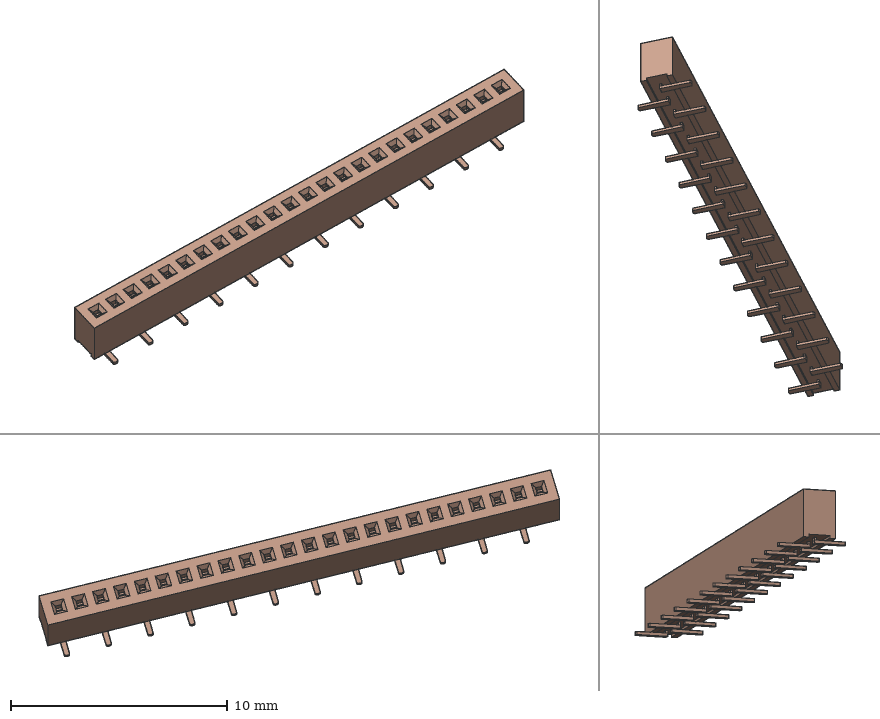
import cadquery as cq

pin_count = 24
pitch = 1.0
end_margin = 0.75

body_width = 1.55
body_length = (pin_count - 1) * pitch + 2 * end_margin
overall_height = 2.4
standoff = 0.15
channel_width = 1.0
channel_top = 0.28

mouth_x = 0.66
mouth_y = 0.61
throat_x = 0.3
throat_y = 0.28
funnel_depth = 0.175
throat_depth = 1.0

blade_thickness = 0.1
blade_width = throat_y
blade_recess = 0.1
blade_top = overall_height - funnel_depth - blade_recess
foot_thickness = standoff
foot_span = 2.95
foot_reach = foot_span / 2
foot_root_width = 0.29
foot_tip_width = 0.25
tip_bulge = 0.05


def make_housing():
    """Rectangular block with a channel along its underside."""
    block = cq.Workplane("XY", origin=(0, 0, standoff)).rect(body_width, body_length)
    block = block.extrude(overall_height - standoff)
    channel = cq.Workplane("XY").rect(channel_width, body_length).extrude(channel_top)
    return block.cut(channel)


def make_opening(y):
    """Tapered lead-in followed by a rectangular blind throat."""
    funnel = (
        cq.Workplane("XY", origin=(0, y, overall_height))
        .rect(mouth_x, mouth_y)
        .workplane(offset=-funnel_depth)
        .rect(throat_x, throat_y)
        .loft(ruled=True)
    )
    throat = (
        cq.Workplane("XY", origin=(0, y, overall_height - funnel_depth))
        .rect(throat_x, throat_y)
        .extrude(-throat_depth)
    )
    return funnel.union(throat)


def make_contact(y, side):
    """Blade standing in the opening, with its foot reaching toward X = side (-1 or +1)."""
    blade = cq.Workplane("XY", origin=(0, y, 0)).rect(blade_thickness, blade_width).extrude(blade_top)
    root_x = -side * blade_thickness / 2
    tip_x = side * (foot_reach - tip_bulge)
    foot = (
        cq.Workplane("XY", origin=(0, y, 0))
        .moveTo(root_x, -foot_root_width / 2)
        .lineTo(tip_x, -foot_tip_width / 2)
        .threePointArc((side * foot_reach, 0), (tip_x, foot_tip_width / 2))
        .lineTo(root_x, foot_root_width / 2)
        .close()
        .extrude(foot_thickness)
    )
    return blade.union(foot)


result = make_housing()
for index in range(pin_count):
    pin_y = (pin_count - 1) * pitch / 2 - index * pitch
    foot_side = -1 if index % 2 == 0 else 1
    result = result.cut(make_opening(pin_y)).union(make_contact(pin_y, foot_side))